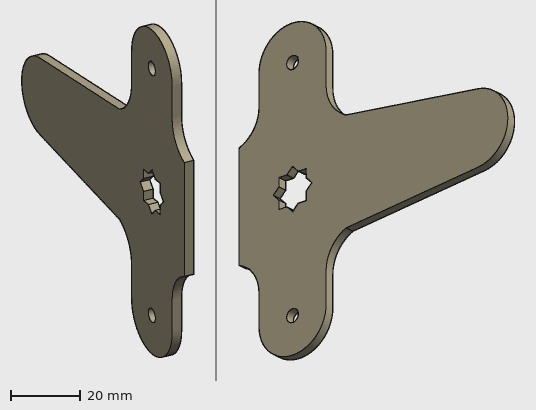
import cadquery as cq
import math

thickness = 3.1
height = 105.0
lobe_radius = 12.5
arm_reach = 80.0
right_edge_x = 20.0
ear_hole_diameter = 4.3
star_side = 10.1
flare_center_z = 29.3
arm_flare_radius = lobe_radius
edge_flare_radius = 11.5
arm_root_x = -20.0

ear_center_z = height / 2 - lobe_radius
arm_center_x = lobe_radius - arm_reach


def flare_end(end_x, radius):
    """Point where an upper flare arc reaches end_x."""
    offset = lobe_radius + radius - abs(end_x)
    return (end_x, flare_center_z - math.sqrt(radius**2 - offset**2))


def flare_middle(end_x, radius):
    """Point halfway along the flare on the same side as end_x."""
    center_x = lobe_radius + radius
    sweep = math.acos((center_x - abs(end_x)) / radius)
    x = center_x - radius * math.cos(sweep / 2)
    z = flare_center_z - radius * math.sin(sweep / 2)
    return (math.copysign(x, end_x), z)


def mirrored(point):
    """Reflect a point to the lower half of the plate."""
    return (point[0], -point[1])


arm_root = flare_end(arm_root_x, arm_flare_radius)
root_dx = arm_root[0] - arm_center_x
root_distance = math.hypot(root_dx, arm_root[1])
tangent_angle = math.atan2(arm_root[1], root_dx) + math.acos(lobe_radius / root_distance)
arm_tangent = (
    arm_center_x + lobe_radius * math.cos(tangent_angle),
    lobe_radius * math.sin(tangent_angle),
)
edge_corner = flare_end(right_edge_x, edge_flare_radius)
arm_flare_middle = flare_middle(arm_root_x, arm_flare_radius)
edge_flare_middle = flare_middle(right_edge_x, edge_flare_radius)


def plate():
    """Plate outline, symmetric about the XY plane, centred in thickness."""
    return (
        cq.Workplane("XZ")
        .moveTo(*mirrored(edge_corner))
        .lineTo(*edge_corner)
        .threePointArc(edge_flare_middle, (lobe_radius, flare_center_z))
        .lineTo(lobe_radius, ear_center_z)
        .threePointArc((0, height / 2), (-lobe_radius, ear_center_z))
        .lineTo(-lobe_radius, flare_center_z)
        .threePointArc(arm_flare_middle, arm_root)
        .lineTo(*arm_tangent)
        .threePointArc((-arm_reach, 0), mirrored(arm_tangent))
        .lineTo(*mirrored(arm_root))
        .threePointArc(mirrored(arm_flare_middle), (-lobe_radius, -flare_center_z))
        .lineTo(-lobe_radius, -ear_center_z)
        .threePointArc((0, -height / 2), (lobe_radius, -ear_center_z))
        .lineTo(lobe_radius, -flare_center_z)
        .threePointArc(mirrored(edge_flare_middle), mirrored(edge_corner))
        .close()
        .extrude(thickness / 2, both=True)
    )


def star_cutter():
    """Eight-pointed star made of two squares turned 45 degrees apart."""
    square = cq.Workplane("XY").box(star_side, thickness, star_side)
    turned_square = square.rotate((0, 0, 0), (0, 1, 0), 45)
    return square.union(turned_square)


def ear_hole_cutter():
    """Through holes at the centres of the two ears."""
    return (
        cq.Workplane("XZ")
        .pushPoints([(0, ear_center_z), (0, -ear_center_z)])
        .circle(ear_hole_diameter / 2)
        .extrude(thickness / 2, both=True)
    )


result = plate().cut(star_cutter()).cut(ear_hole_cutter())